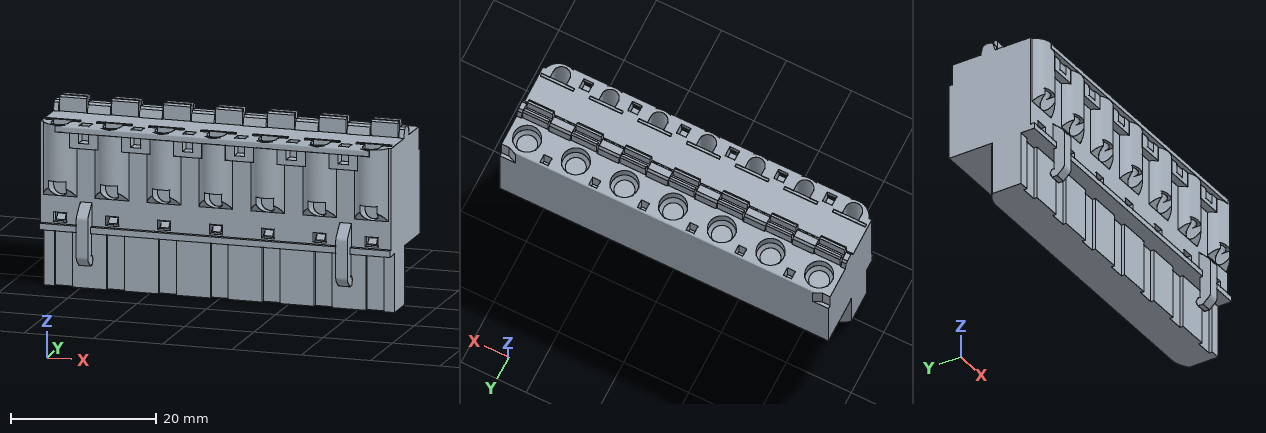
import cadquery as cq
import math

length = 50.6
depth = 15.2
pole_count = 7
pole_pitch = 7.5

body_bottom = 8.4
body_top = 23.75
wall_front = 1.85
plate_front = 0.15

pole_xs = [length / 2 + (i - (pole_count - 1) / 2) * pole_pitch for i in range(pole_count)]
gap_xs = [(left + right) / 2 for left, right in zip(pole_xs, pole_xs[1:])]
latch_xs = [gap_xs[0], gap_xs[-1]]


def block(x_span, y_span, z_span):
    """Axis-aligned box given by its low and high limits on each axis."""
    size = [high - low for low, high in (x_span, y_span, z_span)]
    corner = (x_span[0], y_span[0], z_span[0])
    return cq.Workplane("XY").box(*size, centered=False).translate(corner)


def centred(middle, width):
    """Low and high limits of a span of the given width about its middle."""
    return (middle - width / 2, middle + width / 2)


def side_profile(points, x_span):
    """Closed (y, z) outline extruded along X over the given span."""
    outline = cq.Workplane("YZ", origin=(x_span[0], 0, 0)).polyline(points).close()
    return outline.extrude(x_span[1] - x_span[0])


edge_radius = 0.3
corner_relief_depth = 0.5
corner_relief_flat = 1.2
corner_relief_length = 2.45
corner_relief_bottom = 20.5


def make_housing():
    housing = block((0, length), (wall_front, depth), (body_bottom, body_top))
    housing = housing.faces(">Z").edges(">Y").fillet(edge_radius)
    relief_y = depth - corner_relief_depth
    relief = (
        cq.Workplane("XY", origin=(0, 0, corner_relief_bottom))
        .moveTo(0, depth)
        .lineTo(0, relief_y)
        .lineTo(corner_relief_flat, relief_y)
        .lineTo(corner_relief_length, depth)
        .close()
        .extrude(body_top - corner_relief_bottom)
    )
    mirrored_relief = relief.mirror("YZ").translate((length, 0, 0))
    return housing.cut(relief).cut(mirrored_relief)


tail_front = 3.45
tail_back = 9.25
tail_end_back = 8.1
tail_groove_width = 2.6
tail_groove_depth = 0.5


def make_tail():
    arc_length = pole_xs[0]
    rise = tail_back - tail_end_back
    radius = (arc_length**2 + rise**2) / (2 * rise)
    mid_offset = arc_length / 2
    mid_y = tail_back - radius + math.sqrt(radius**2 - mid_offset**2)
    tail = (
        cq.Workplane("XY")
        .moveTo(0, tail_front)
        .lineTo(length, tail_front)
        .lineTo(length, tail_end_back)
        .threePointArc((length - mid_offset, mid_y), (length - arc_length, tail_back))
        .lineTo(arc_length, tail_back)
        .threePointArc((mid_offset, mid_y), (0, tail_end_back))
        .close()
        .extrude(body_bottom)
    )
    groove_y = (tail_front, tail_front + tail_groove_depth)
    for x in pole_xs:
        tail = tail.cut(block(centred(x, tail_groove_width), groove_y, (0, body_bottom)))
    return tail


column_front = 0.2
column_width = 4.85
column_bottom = 13.3


def make_column(x):
    arc = (
        cq.Workplane("XY", origin=(x, 0, column_bottom))
        .moveTo(-column_width / 2, wall_front)
        .threePointArc((0, column_front), (column_width / 2, wall_front))
        .close()
        .extrude(body_top - column_bottom)
    )
    reach = wall_front - column_front
    underside = side_profile(
        [
            (wall_front, column_bottom),
            (column_front, column_bottom + reach),
            (column_front, column_bottom),
        ],
        centred(x, column_width),
    )
    return arc.cut(underside)


entry_width = 2.5
entry_back = 2.9
entry_tip = 0.6
entry_window_top = 15.7


def make_wire_entry(x):
    radius = entry_width / 2

    def front_channel(top):
        """Round-floored channel running along Y from the entry back to the front."""
        spring = column_bottom + radius
        return (
            cq.Workplane("XZ", origin=(x, entry_back, 0))
            .moveTo(-radius, top)
            .lineTo(-radius, spring)
            .threePointArc((0, column_bottom), (radius, spring))
            .lineTo(radius, top)
            .close()
            .extrude(entry_back)
        )

    shaft = (
        cq.Workplane("XY", origin=(x, 0, column_bottom))
        .moveTo(-radius, entry_back)
        .lineTo(-radius, entry_tip + radius)
        .threePointArc((0, entry_tip), (radius, entry_tip + radius))
        .lineTo(radius, entry_back)
        .close()
        .extrude(body_top - column_bottom)
    )
    return shaft.intersect(front_channel(body_top)).union(front_channel(entry_window_top))


plate_bottom = 22.75
plate_end_inset = 2.65
tab_front = 0.75
tab_width = 4.1
tab_bottom = 20.5


def make_top_plate():
    x_span = (plate_end_inset, length - plate_end_inset)
    plate = block(x_span, (plate_front, wall_front), (plate_bottom, body_top))
    plate = plate.faces(">Z").edges("<Y").fillet(edge_radius)
    for x in gap_xs:
        plate = plate.union(block(centred(x, tab_width), (tab_front, wall_front), (tab_bottom, plate_bottom)))
    return plate


pocket_floor = 21.25
front_pocket_size = 1.45
front_pocket_y = 0.95
back_pocket_size = 1.2
back_pocket_y = 13.45


def make_front_pocket(x):
    x_span = centred(x, front_pocket_size)
    pocket_back = front_pocket_y + front_pocket_size
    shaft = block(x_span, (front_pocket_y, pocket_back), (pocket_floor, body_top))
    window = block(x_span, (plate_front, pocket_back), (pocket_floor, plate_bottom))
    return shaft.union(window)


def make_back_pocket(x):
    y_span = (back_pocket_y, back_pocket_y + back_pocket_size)
    return block(centred(x, back_pocket_size), y_span, (pocket_floor, body_top))


screw_y = 12.4
screw_diameter = 4.0
screw_floor_diameter = 2.9
screw_wall_depth = 1.65
screw_cone_depth = 0.5


def make_screw_recess(x):
    cone_top = body_top - screw_wall_depth
    mouth = cq.Workplane("XY", origin=(x, screw_y, cone_top)).circle(screw_diameter / 2)
    wall = mouth.extrude(screw_wall_depth)
    cone = (
        cq.Workplane("XY", origin=(x, screw_y, cone_top - screw_cone_depth))
        .circle(screw_floor_diameter / 2)
        .workplane(offset=screw_cone_depth)
        .circle(screw_diameter / 2)
        .loft()
    )
    return wall.union(cone)


ridge_y = 8.85
prong_top = 26.0
prong_length = 3.9
prong_pair_width = 2.05
prong_slot_width = 0.9
prong_slot_floor_width = 0.6
prong_slot_floor = 24.55
prong_chamfer = 0.25
bridge_top = 25.2
bridge_shoulder = 24.9
bridge_base_width = 2.4
bridge_shoulder_width = 1.75
bridge_top_width = 1.05
bridge_clearance = 0.15


def make_prong_pair(x):
    x_span = centred(x, prong_length)
    pair = block(x_span, centred(ridge_y, prong_pair_width), (body_top, prong_top))
    pair = pair.faces(">Z").edges("|X").chamfer(prong_chamfer)
    floor_front, floor_back = centred(ridge_y, prong_slot_floor_width)
    mouth_front, mouth_back = centred(ridge_y, prong_slot_width)
    slot = side_profile(
        [
            (floor_front, prong_slot_floor),
            (mouth_front, prong_top),
            (mouth_back, prong_top),
            (floor_back, prong_slot_floor),
        ],
        x_span,
    )
    return pair.cut(slot)


def make_bridge(x_start, x_end):
    steps = [
        (bridge_base_width / 2, body_top),
        (bridge_shoulder_width / 2, bridge_shoulder),
        (bridge_top_width / 2, bridge_top),
    ]
    front_side = [(ridge_y - half, z) for half, z in steps]
    back_side = [(ridge_y + half, z) for half, z in reversed(steps)]
    return side_profile(front_side + back_side, (x_start, x_end))


def make_ridge():
    reach = prong_length / 2 + bridge_clearance
    starts = [0] + [x + reach for x in pole_xs]
    ends = [x - reach for x in pole_xs] + [length]
    ridge = cq.Workplane("XY")
    for x_start, x_end in zip(starts, ends):
        ridge = ridge.union(make_bridge(x_start, x_end))
    for x in pole_xs:
        ridge = ridge.union(make_prong_pair(x))
    return ridge


rib_length = 5.05
rib_width = 0.4
rib_height = 0.15


def make_rib(x):
    y_span = (entry_back, entry_back + rib_width)
    return block(centred(x, rib_length), y_span, (body_top, body_top + rib_height))


lip_front = 1.25
lip_top = 9.3
latch_width = 1.65
latch_corner_radius = 0.9
latch_front = 0.0
latch_inner = 1.65
latch_top = 12.65
latch_shoulder = 10.85
latch_chin = 4.85
latch_bottom = 3.8
hook_tip_y = 2.4
hook_tip_z = 4.55
hook_bottom_y = (1.2, 2.0)
hook_top = 5.1


def make_latch(x):
    hook_front, hook_back = hook_bottom_y
    outline = [
        (wall_front, latch_top),
        (latch_front, latch_shoulder),
        (latch_front, latch_chin),
        (hook_front, latch_bottom),
        (hook_back, latch_bottom),
        (hook_tip_y, hook_tip_z),
        (hook_back, hook_top),
        (latch_inner, hook_top),
        (latch_inner, body_bottom),
        (wall_front, body_bottom),
    ]
    latch = side_profile(outline, centred(x, latch_width))
    return latch.edges("|X").edges("<Y").fillet(latch_corner_radius)


window_width = 1.85
window_bottom = 9.55
window_top = 10.95
window_depth = 0.75
nub_margin = 0.3
nub_length = 0.5


def make_test_window(x):
    floor_y = wall_front + window_depth
    opening = block(centred(x, window_width), (wall_front, floor_y), (window_bottom, window_top))
    nub_bottom = window_bottom + nub_margin
    nub = side_profile(
        [
            (floor_y, nub_bottom),
            (floor_y - nub_length, nub_bottom),
            (floor_y, window_top - nub_margin),
        ],
        centred(x, window_width - 2 * nub_margin),
    )
    return opening.cut(nub)


def at_each(make_feature, xs):
    """All copies of a feature, one at each X position."""
    copies = cq.Workplane("XY")
    for x in xs:
        copies.add(make_feature(x))
    return copies


lip = block((0, length), (lip_front, wall_front), (body_bottom, lip_top))
connector = make_housing().union(make_tail()).union(make_top_plate()).union(make_ridge()).union(lip)
connector = connector.union(at_each(make_column, pole_xs))

for make_opening in (make_wire_entry, make_screw_recess, make_test_window):
    connector = connector.cut(at_each(make_opening, pole_xs))
for make_pocket in (make_front_pocket, make_back_pocket):
    connector = connector.cut(at_each(make_pocket, gap_xs))

connector = connector.union(at_each(make_rib, pole_xs))
connector = connector.union(at_each(make_latch, latch_xs))

result = connector.solids()